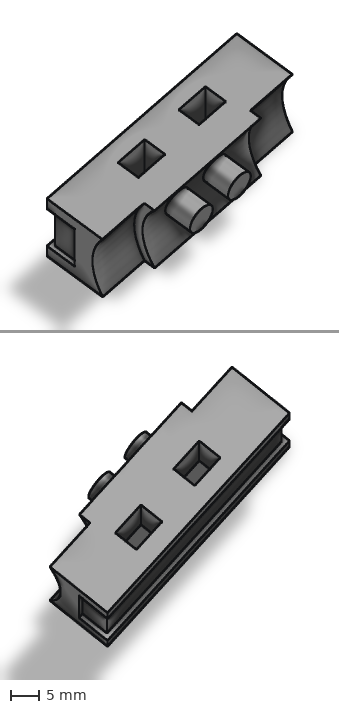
import cadquery as cq
import math

length = 50.0
height = 17.0
body_depth = 13.5
body_waist = 11.0

pad_length = 28.0
pad_thickness = 2.0

pin_diameter = 6.0
pin_tip = 19.0
pin_spacing = 10.0

recess_height = 11.0
recess_depth = 1.0
end_recess_reach = 6.7

pocket_start = 3.9
pocket_width = 4.9
pocket_length = 7.0
pocket_depth = 10.0
pocket_centers_y = (9.0, -7.0)

half_height = height / 2
sagitta = body_depth - body_waist
body_radius = (half_height**2 + sagitta**2) / (2 * sagitta)
axis_x = body_waist + body_radius


def concave_block(block_length, front_radius):
    """Block with a flat back and a cylindrical hollow along its front."""
    waist_x = axis_x - front_radius
    horn_x = axis_x - math.sqrt(front_radius**2 - half_height**2)
    return (
        cq.Workplane("XZ")
        .moveTo(0, -half_height)
        .lineTo(horn_x, -half_height)
        .threePointArc((waist_x, 0), (horn_x, half_height))
        .lineTo(0, half_height)
        .close()
        .extrude(block_length / 2, both=True)
    )


def pin(y):
    """Round pin starting inside the body and standing out of the pad."""
    root_x = body_waist
    return (
        cq.Workplane("YZ", origin=(root_x, y, 0))
        .circle(pin_diameter / 2)
        .extrude(pin_tip - root_x)
    )


def back_channel():
    """Shallow channel along the whole back face."""
    return cq.Workplane("XY").box(
        recess_depth, length, recess_height, centered=(False, True, True)
    )


def end_recess(side):
    """Shallow recess in one end face, open to the back."""
    center_y = side * (length - recess_depth) / 2
    return (
        cq.Workplane("XY")
        .box(end_recess_reach, recess_depth, recess_height, centered=(False, True, True))
        .translate((0, center_y, 0))
    )


def top_pocket(y):
    """Rectangular blind pocket cut down from the top face."""
    return (
        cq.Workplane("XY")
        .box(pocket_width, pocket_length, pocket_depth, centered=(False, True, False))
        .translate((pocket_start, y, half_height - pocket_depth))
    )


result = concave_block(length, body_radius)
result = result.union(concave_block(pad_length, body_radius - pad_thickness))

for side in (-1, 1):
    result = result.union(pin(side * pin_spacing / 2))
    result = result.cut(end_recess(side))

result = result.cut(back_channel())

for y in pocket_centers_y:
    result = result.cut(top_pocket(y))